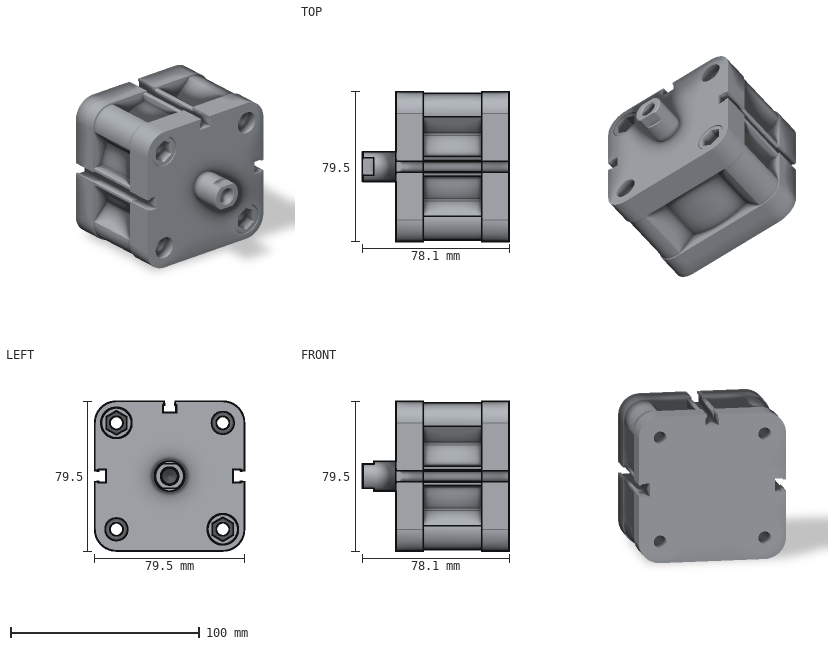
import cadquery as cq
import math

CAP_SIZE = 79.5
CAP_LENGTH = 14.5
BARREL_LENGTH = 31.1
BOLT_OFFSET = 28.2

BARREL_INSET = 0.755
TUBE_RADIUS = 34.4
COLUMN_EDGE = 26.4
FLANK_RUN = 9.55
FLANK_RISE = 9.9
FLANK_FILLET = 1.2

CAP_SLOT_HALF_MOUTH = 2.95
CAP_SLOT_HALF_WIDTH = 3.65
CAP_SLOT_DEPTH = 6.1
CAP_LIP_DEPTH = 1.4
CAP_LIP_END = 2.1

RAIL_HALF_WIDTH = 5.25
RAIL_BURIAL = 6.35
RAIL_ROUND = 0.95
RAIL_FILLET = 0.8
BARREL_SLOT_HALF_ENTRY = 3.25
BARREL_SLOT_HALF_MOUTH = 2.6
BARREL_SLOT_BEVEL = 0.6
BARREL_SLOT_DEPTH = 5.9
BARREL_LIP_DEPTH = 2.1
BARREL_LIP_END = 2.4

THROUGH_DIAMETER = 6.8
COUNTERBORE_DIAMETER = 12.0
COUNTERBORE_DEPTH = 5.0

SCREW_DIAMETER = 15.9
SCREW_CLEARANCE = 0.3
SCREW_LENGTH = 7.95
SCREW_SETBACK = 0.4
SOCKET_FLATS = 11.0
SOCKET_DEPTH = 6.0

ROD_DIAMETER = 16.0
ROD_PROTRUSION = 18.0
ROD_CHAMFER = 0.5
FLAT_WIDTH = 12.95
FLAT_LENGTH = 6.2
TAPPED_DIAMETER = 8.5
TAPPED_MOUTH = 9.55
TAPPED_DEPTH = 19.9
DRILL_HALF_ANGLE = 59.0

TOLERANCE = 0.01
HEX_HALF_ANGLE = 30.0
DIAGONAL = 45.0

HALF_CAP = CAP_SIZE / 2
CORNER_RADIUS = HALF_CAP - BOLT_OFFSET
COLUMN_RADIUS = CORNER_RADIUS - BARREL_INSET
BARREL_TOP = HALF_CAP - BARREL_INSET
HOUSING_LENGTH = 2 * CAP_LENGTH + BARREL_LENGTH
SLOT_ANGLES = (-90, 0, 90)
SCREW_CENTERS = [(BOLT_OFFSET, BOLT_OFFSET), (-BOLT_OFFSET, -BOLT_OFFSET)]
OPEN_CENTERS = [(BOLT_OFFSET, -BOLT_OFFSET), (-BOLT_OFFSET, BOLT_OFFSET)]


def plane_at(x):
    """Plane across the axis: local x is Y, local y is Z, extrusions go to +X."""
    return cq.Workplane("YZ", origin=(x, 0, 0))


def mirrored_prism(half_outline, x, length):
    """Prism of an outline given on its +Y half and mirrored to -Y."""
    other_half = [(-y, z) for y, z in reversed(half_outline)]
    return plane_at(x).polyline(half_outline + other_half).close().extrude(length)


def about_axis(shape, angle):
    return shape.rotate((0, 0, 0), (1, 0, 0), angle)


def end_cap(x):
    cap = plane_at(x).rect(CAP_SIZE, CAP_SIZE).extrude(CAP_LENGTH)
    cap = cap.edges("|X").fillet(CORNER_RADIUS)
    half_slot = [
        (CAP_SLOT_HALF_MOUTH, HALF_CAP),
        (CAP_SLOT_HALF_MOUTH, HALF_CAP - CAP_LIP_DEPTH),
        (CAP_SLOT_HALF_WIDTH, HALF_CAP - CAP_LIP_END),
        (CAP_SLOT_HALF_WIDTH, HALF_CAP - CAP_SLOT_DEPTH),
    ]
    slot = mirrored_prism(half_slot, x, CAP_LENGTH)
    for angle in SLOT_ANGLES:
        cap = cap.cut(about_axis(slot, angle))
    return cap


def corner_column():
    """Column around a corner hole: round outside, two flat flanks running into the tube."""
    edge_rise = math.sqrt(COLUMN_RADIUS ** 2 - (BOLT_OFFSET - COLUMN_EDGE) ** 2)
    edge_height = BOLT_OFFSET + edge_rise
    foot = (COLUMN_EDGE - FLANK_RUN, edge_height - FLANK_RISE)
    crest = BOLT_OFFSET + COLUMN_RADIUS * math.sin(math.radians(DIAGONAL))
    return (
        plane_at(CAP_LENGTH)
        .moveTo(*foot)
        .lineTo(COLUMN_EDGE, edge_height)
        .threePointArc((crest, crest), (edge_height, COLUMN_EDGE))
        .lineTo(foot[1], foot[0])
        .close()
        .extrude(BARREL_LENGTH)
    )


def rail_block():
    """Raised block on the tube that carries a sensor slot."""
    half_rail = [
        (RAIL_HALF_WIDTH, BARREL_TOP),
        (RAIL_HALF_WIDTH, TUBE_RADIUS - RAIL_BURIAL),
    ]
    block = mirrored_prism(half_rail, CAP_LENGTH, BARREL_LENGTH)
    return block.faces(">Z").edges("|X").fillet(RAIL_ROUND)


def sensor_slot():
    half_slot = [
        (BARREL_SLOT_HALF_ENTRY, BARREL_TOP),
        (BARREL_SLOT_HALF_MOUTH, BARREL_TOP - BARREL_SLOT_BEVEL),
        (BARREL_SLOT_HALF_MOUTH, HALF_CAP - BARREL_LIP_DEPTH),
        (BARREL_SLOT_HALF_ENTRY, HALF_CAP - BARREL_LIP_END),
        (BARREL_SLOT_HALF_ENTRY, HALF_CAP - BARREL_SLOT_DEPTH),
    ]
    return mirrored_prism(half_slot, CAP_LENGTH, BARREL_LENGTH)


def edges_at_tube(shape, offset_range):
    """Lengthwise edges on the tube surface; the smaller of their |Y| and |Z| lies in the range."""
    def on_tube(edge):
        center = edge.Center()
        nearest = min(abs(center.y), abs(center.z))
        radius = math.hypot(center.y, center.z)
        return abs(radius - TUBE_RADIUS) < TOLERANCE and offset_range[0] < nearest < offset_range[1]
    return shape.newObject([edge for edge in shape.edges("|X").vals() if on_tube(edge)])


def barrel():
    body = plane_at(CAP_LENGTH).circle(TUBE_RADIUS).extrude(BARREL_LENGTH)
    for quarter in range(4):
        body = body.union(about_axis(corner_column(), 90 * quarter))
    for angle in SLOT_ANGLES:
        body = body.union(about_axis(rail_block(), angle))
    rail_limit = 2 * RAIL_HALF_WIDTH
    body = edges_at_tube(body, (0, rail_limit)).fillet(RAIL_FILLET)
    body = edges_at_tube(body, (rail_limit, COLUMN_EDGE)).fillet(FLANK_FILLET)
    for angle in SLOT_ANGLES:
        body = body.cut(about_axis(sensor_slot(), angle))
    return body


def housing():
    body = end_cap(0).union(barrel()).union(end_cap(CAP_LENGTH + BARREL_LENGTH))
    front = plane_at(0)
    through_holes = front.pushPoints(SCREW_CENTERS + OPEN_CENTERS).circle(THROUGH_DIAMETER / 2)
    body = body.cut(through_holes.extrude(HOUSING_LENGTH))
    body = body.cut(
        front.pushPoints(OPEN_CENTERS).circle(COUNTERBORE_DIAMETER / 2).extrude(COUNTERBORE_DEPTH)
    )
    recess_depth = SCREW_SETBACK + SCREW_LENGTH
    recess_radius = SCREW_DIAMETER / 2 + SCREW_CLEARANCE
    body = body.cut(front.pushPoints(SCREW_CENTERS).circle(recess_radius).extrude(recess_depth))
    return body.cut(front.circle(ROD_DIAMETER / 2).extrude(CAP_LENGTH))


def hollow_screw(center):
    """Cylindrical screw with a hexagon socket, points up, and a bore right through."""
    head_plane = plane_at(SCREW_SETBACK).center(*center)
    screw = head_plane.circle(SCREW_DIAMETER / 2).extrude(SCREW_LENGTH)
    bore = head_plane.circle(THROUGH_DIAMETER / 2).extrude(SCREW_LENGTH)
    socket_corners = SOCKET_FLATS / math.cos(math.radians(HEX_HALF_ANGLE))
    socket_plane = head_plane.transformed(rotate=(0, 0, HEX_HALF_ANGLE))
    socket = socket_plane.polygon(6, socket_corners).extrude(SOCKET_DEPTH)
    return screw.cut(bore).cut(socket)


def piston_rod():
    tip = -ROD_PROTRUSION
    rod = plane_at(tip).circle(ROD_DIAMETER / 2).extrude(ROD_PROTRUSION + CAP_LENGTH)
    rod = rod.faces("<X").chamfer(ROD_CHAMFER)

    flat_gap = plane_at(tip).rect(ROD_DIAMETER, ROD_DIAMETER).rect(ROD_DIAMETER, FLAT_WIDTH)
    rod = rod.cut(flat_gap.extrude(FLAT_LENGTH))

    hole_radius = TAPPED_DIAMETER / 2
    mouth_radius = TAPPED_MOUTH / 2
    point_length = hole_radius / math.tan(math.radians(DRILL_HALF_ANGLE))
    hole_profile = [
        (tip, 0),
        (tip, mouth_radius),
        (tip + mouth_radius - hole_radius, hole_radius),
        (tip + TAPPED_DEPTH, hole_radius),
        (tip + TAPPED_DEPTH + point_length, 0),
    ]
    hole = cq.Workplane("XY").polyline(hole_profile).close().revolve(360, (0, 0, 0), (1, 0, 0))
    return rod.cut(hole)


screws = [hollow_screw(center) for center in SCREW_CENTERS]

result = cq.Compound.makeCompound(
    [housing().val(), piston_rod().val(), *[screw.val() for screw in screws]]
)